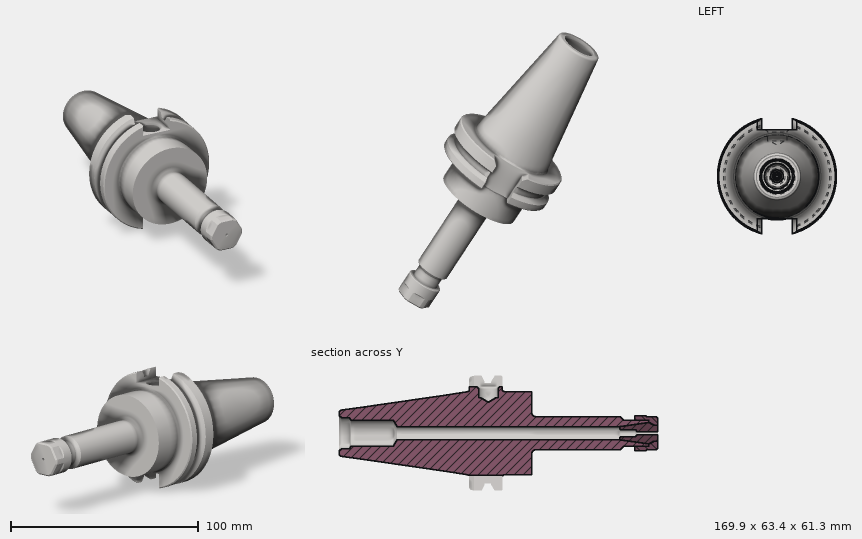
import cadquery as cq
import math

OVERALL_LENGTH = 169.9

TAPER_LENGTH = 68.3
GAUGE_DIAMETER = 44.5
TAPER_RATIO = 7 / 24
SMALL_END_ROUND = 1.4

MOUTH_DIAMETER = 18.2
COUNTERBORE_DIAMETER = 16.5
COUNTERBORE_START = 1.4
COUNTERBORE_END = 5.5
THREAD_BORE_DIAMETER = 13.5
THREAD_BORE_START = 6.3
THREAD_BORE_END = 28.9
DRILL_POINT_HALF_ANGLE = math.radians(59)
COOLANT_BORE_DIAMETER = 6.8

FLANGE_DIAMETER = 63.4
FLANGE_END = 87.1
FLANGE_EDGE_CHAMFER = 0.6
GROOVE_FLOOR_DIAMETER = 56.0
GROOVE_WALL_DEPTH = 0.7
GROOVE_TOP_START = 76.0
GROOVE_FLOOR_START = 77.5
GROOVE_FLOOR_END = 81.0
GROOVE_TOP_END = 82.9

SLOT_WIDTH = 16.1
UPPER_SLOT_FLOOR = 24.8
LOWER_SLOT_FLOOR = 22.6
SLOT_MOUTH_CHAMFER = 2.5

SIDE_HOLE_STATION = 79.5
SIDE_HOLE_RIM_DIAMETER = 12.2
SIDE_HOLE_DIAMETER = 10.2
SIDE_HOLE_DEPTH = 5.8
SIDE_HOLE_POINT_DIAMETER = 8.0

FLANGE_ROOT_FILLET = 1.0
STEM_ROOT_FILLET = 2.0
BOSS_END = 102.8
STEM_DIAMETER = 18.0
STEM_END = 149.8
NOSE_DIAMETER = 14.3
NOSE_START = 151.7
NOSE_END = 165.1

NUT_DIAMETER = 19.0
NUT_START = 157.5
NUT_BACK_CHAMFER = 0.3
NUT_FRONT_CHAMFER = 0.76
NUT_FLAT_COUNT = 6
NUT_ACROSS_FLATS = 17.7
NUT_FLAT_START = 163.9

COLLET_BACK_DIAMETER = 6.8
COLLET_TAPER_HALF_ANGLE = math.radians(8)
COLLET_START = 149.5
COLLET_FRONT_DIAMETER = 8.5
COLLET_FRONT_HALF_ANGLE = math.radians(30)
COLLET_MOUTH_DIAMETER = 4.6
COLLET_RELIEF_DIAMETER = 3.5
COLLET_RELIEF_END = 158.0
COLLET_BORE_DIAMETER = 1.5

flange_start = TAPER_LENGTH + FLANGE_ROOT_FILLET
gauge_radius = GAUGE_DIAMETER / 2
small_end_radius = gauge_radius - TAPER_LENGTH * TAPER_RATIO / 2
flange_radius = FLANGE_DIAMETER / 2
groove_floor_radius = GROOVE_FLOOR_DIAMETER / 2
stem_radius = STEM_DIAMETER / 2
nose_radius = NOSE_DIAMETER / 2
nut_radius = NUT_DIAMETER / 2
collet_back_radius = COLLET_BACK_DIAMETER / 2
collet_nose_radius = collet_back_radius + (NOSE_END - COLLET_START) * math.tan(COLLET_TAPER_HALF_ANGLE)
collet_front_radius = COLLET_FRONT_DIAMETER / 2
collet_cone_length = (collet_nose_radius - collet_front_radius) / math.tan(COLLET_FRONT_HALF_ANGLE)
collet_cone_end = NOSE_END + collet_cone_length


def drill_point_length(large_diameter, small_diameter=0.0):
    return (large_diameter - small_diameter) / 2 / math.tan(DRILL_POINT_HALF_ANGLE)


def turn(points):
    """Revolve a closed (station, radius) outline about the X axis."""
    return cq.Workplane("XY").polyline(points).close().revolve(360, (0, 0, 0), (1, 0, 0))


def holder_blank():
    profile = (
        cq.Workplane("XY")
        .moveTo(0, 0)
        .lineTo(0, small_end_radius)
        .lineTo(TAPER_LENGTH, gauge_radius)
        .radiusArc((flange_start, gauge_radius + FLANGE_ROOT_FILLET), -FLANGE_ROOT_FILLET)
        .lineTo(flange_start, flange_radius - FLANGE_EDGE_CHAMFER)
        .lineTo(flange_start + FLANGE_EDGE_CHAMFER, flange_radius)
        .lineTo(GROOVE_TOP_START, flange_radius)
        .lineTo(GROOVE_FLOOR_START, groove_floor_radius + GROOVE_WALL_DEPTH)
        .lineTo(GROOVE_FLOOR_START, groove_floor_radius)
        .lineTo(GROOVE_FLOOR_END, groove_floor_radius)
        .lineTo(GROOVE_FLOOR_END, groove_floor_radius + GROOVE_WALL_DEPTH)
        .lineTo(GROOVE_TOP_END, flange_radius)
        .lineTo(FLANGE_END - FLANGE_EDGE_CHAMFER, flange_radius)
        .lineTo(FLANGE_END, flange_radius - FLANGE_EDGE_CHAMFER)
        .lineTo(FLANGE_END, gauge_radius + FLANGE_ROOT_FILLET)
        .radiusArc((FLANGE_END + FLANGE_ROOT_FILLET, gauge_radius), -FLANGE_ROOT_FILLET)
        .lineTo(BOSS_END, gauge_radius)
        .lineTo(BOSS_END, stem_radius + STEM_ROOT_FILLET)
        .radiusArc((BOSS_END + STEM_ROOT_FILLET, stem_radius), -STEM_ROOT_FILLET)
        .lineTo(STEM_END, stem_radius)
        .lineTo(NOSE_START, nose_radius)
        .lineTo(NOSE_END, nose_radius)
        .lineTo(NOSE_END, 0)
        .close()
    )
    blank = profile.revolve(360, (0, 0, 0), (1, 0, 0))
    return blank.faces("<X").edges().fillet(SMALL_END_ROUND)


def drawbar_bore():
    mouth_radius = MOUTH_DIAMETER / 2
    counterbore_radius = COUNTERBORE_DIAMETER / 2
    thread_radius = THREAD_BORE_DIAMETER / 2
    coolant_radius = COOLANT_BORE_DIAMETER / 2
    point_end = THREAD_BORE_END + drill_point_length(THREAD_BORE_DIAMETER, COOLANT_BORE_DIAMETER)
    return turn([
        (0, 0),
        (0, mouth_radius),
        (COUNTERBORE_START, counterbore_radius),
        (COUNTERBORE_END, counterbore_radius),
        (THREAD_BORE_START, thread_radius),
        (THREAD_BORE_END, thread_radius),
        (point_end, coolant_radius),
        (COLLET_START, coolant_radius),
        (COLLET_START, 0),
    ])


def collet_seat():
    return turn([
        (COLLET_START, 0),
        (COLLET_START, collet_back_radius),
        (NOSE_END, collet_nose_radius),
        (NOSE_END, 0),
    ])


def drive_slot(floor_height, side):
    """Slot with a flared mouth on the taper side; side is +1 for +Z and -1 for -Z."""
    half_width = SLOT_WIDTH / 2
    mouth_half_width = half_width + SLOT_MOUTH_CHAMFER
    throat = flange_start + SLOT_MOUTH_CHAMFER
    return (
        cq.Workplane("XY")
        .workplane(offset=side * floor_height)
        .polyline([
            (flange_start, -mouth_half_width),
            (throat, -half_width),
            (FLANGE_END, -half_width),
            (FLANGE_END, half_width),
            (throat, half_width),
            (flange_start, mouth_half_width),
        ])
        .close()
        .extrude(side * (flange_radius - floor_height))
    )


def side_hole():
    """Countersunk blind hole with a smaller drill point, sunk from the upper slot floor."""
    rim_radius = SIDE_HOLE_RIM_DIAMETER / 2
    hole_radius = SIDE_HOLE_DIAMETER / 2
    bottom = UPPER_SLOT_FLOOR - SIDE_HOLE_DEPTH
    profile = (
        cq.Workplane("XZ")
        .polyline([
            (0, UPPER_SLOT_FLOOR),
            (rim_radius, UPPER_SLOT_FLOOR),
            (hole_radius, UPPER_SLOT_FLOOR - (rim_radius - hole_radius)),
            (hole_radius, bottom),
            (SIDE_HOLE_POINT_DIAMETER / 2, bottom),
            (0, bottom - drill_point_length(SIDE_HOLE_POINT_DIAMETER)),
        ])
        .close()
    )
    return profile.revolve(360, (0, 0, 0), (0, 1, 0)).translate((SIDE_HOLE_STATION, 0, 0))


def make_holder():
    return (
        holder_blank()
        .cut(drawbar_bore())
        .cut(collet_seat())
        .cut(drive_slot(UPPER_SLOT_FLOOR, 1))
        .cut(drive_slot(LOWER_SLOT_FLOOR, -1))
        .cut(side_hole())
    )


def nut_flat_cutter():
    """Wedge that leaves one flat facing +Z, ending in a 45 degree run-out toward the back."""
    flat_height = NUT_ACROSS_FLATS / 2
    depth = nut_radius - flat_height
    return (
        cq.Workplane("XZ")
        .polyline([
            (NUT_FLAT_START, flat_height),
            (OVERALL_LENGTH, flat_height),
            (OVERALL_LENGTH, nut_radius),
            (NUT_FLAT_START - depth, nut_radius),
        ])
        .close()
        .extrude(nut_radius, both=True)
    )


def make_nut():
    collet_mouth = turn([
        (NOSE_END, 0),
        (NOSE_END, collet_nose_radius),
        (collet_cone_end, collet_front_radius),
        (OVERALL_LENGTH, collet_front_radius),
        (OVERALL_LENGTH, 0),
    ])
    nut = turn([
        (NUT_START, nose_radius),
        (NUT_START, nut_radius - NUT_BACK_CHAMFER),
        (NUT_START + NUT_BACK_CHAMFER, nut_radius),
        (OVERALL_LENGTH, nut_radius),
        (OVERALL_LENGTH, 0),
        (NOSE_END, 0),
        (NOSE_END, nose_radius),
    ])
    for index in range(NUT_FLAT_COUNT):
        angle = index * 360 / NUT_FLAT_COUNT
        nut = nut.cut(nut_flat_cutter().rotate((0, 0, 0), (1, 0, 0), angle))
    return nut.faces(">X").edges().chamfer(NUT_FRONT_CHAMFER).cut(collet_mouth)


def make_collet():
    mouth_radius = COLLET_MOUTH_DIAMETER / 2
    relief_radius = COLLET_RELIEF_DIAMETER / 2
    bore_radius = COLLET_BORE_DIAMETER / 2
    return turn([
        (COLLET_START, mouth_radius),
        (COLLET_START, collet_back_radius),
        (NOSE_END, collet_nose_radius),
        (collet_cone_end, collet_front_radius),
        (OVERALL_LENGTH, collet_front_radius),
        (OVERALL_LENGTH, bore_radius),
        (COLLET_RELIEF_END + drill_point_length(COLLET_RELIEF_DIAMETER, COLLET_BORE_DIAMETER), bore_radius),
        (COLLET_RELIEF_END, relief_radius),
        (COLLET_START + mouth_radius - relief_radius, relief_radius),
    ])


holder = make_holder()
nut = make_nut()
collet = make_collet()

result = cq.Compound.makeCompound([holder.val(), nut.val(), collet.val()])